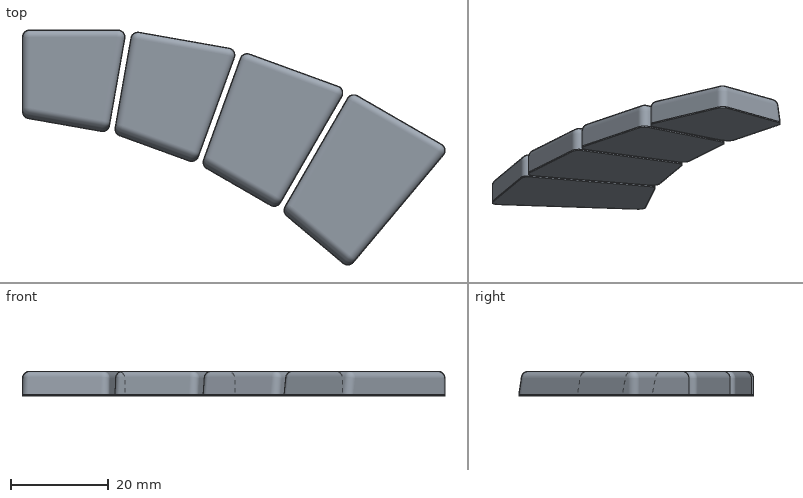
import cadquery as cq
import math

tile_count = 4
turn_angle = 10.0
front_width = 17.85
first_left_length = 17.9
gap = 1.2

total_height = 5.0
base_thickness = 0.3
tile_height = total_height - base_thickness
front_draft = 11.0
edge_radius = 1.5

turn_cos = math.cos(math.radians(turn_angle))
turn_sin = math.sin(math.radians(turn_angle))
front_setback = tile_height * math.tan(math.radians(front_draft))


def back_width(left_length):
    """Width of the back edge, which is square to the left side."""
    return (front_width + left_length * turn_sin) / turn_cos


def right_length(left_length):
    """Length of the right side, which is square to the front edge."""
    return left_length * turn_cos + back_width(left_length) * turn_sin


def outline(left_length, setback):
    """Keystone corners, with the front edge moved back by the setback."""
    width = back_width(left_length)
    right = right_length(left_length) - setback
    left = left_length - setback / turn_cos
    return [
        (0, 0),
        (width, 0),
        (width - right * turn_sin, -right * turn_cos),
        (0, -left),
    ]


def make_tile(left_length):
    """Tile standing on the base, with a leaning front and rounded edges."""
    body = (
        cq.Workplane("XY", origin=(0, 0, base_thickness))
        .polyline(outline(left_length, 0))
        .close()
        .workplane(offset=tile_height)
        .polyline(outline(left_length, front_setback))
        .close()
        .loft(ruled=True)
    )
    return body.edges("not <Z").fillet(edge_radius)


def make_base(tile):
    """Thin sheet with the same outline as the underside of the tile."""
    return tile.faces("<Z").wires().toPending().workplane().extrude(base_thickness, combine=False)


bodies = []
corner_x = 0.0
corner_y = 0.0
left_length = first_left_length
for index in range(tile_count):
    angle = -turn_angle * index
    tile = make_tile(left_length)
    base = make_base(tile)
    for body in (tile, base):
        placed = body.rotate((0, 0, 0), (0, 0, 1), angle).translate((corner_x, corner_y, 0))
        bodies.append(placed.solids().val())

    heading = math.radians(angle)
    next_heading = math.radians(angle - turn_angle)
    corner_x += back_width(left_length) * math.cos(heading) + gap * math.cos(next_heading)
    corner_y += back_width(left_length) * math.sin(heading) + gap * math.sin(next_heading)
    left_length = right_length(left_length)

result = cq.Compound.makeCompound(bodies)